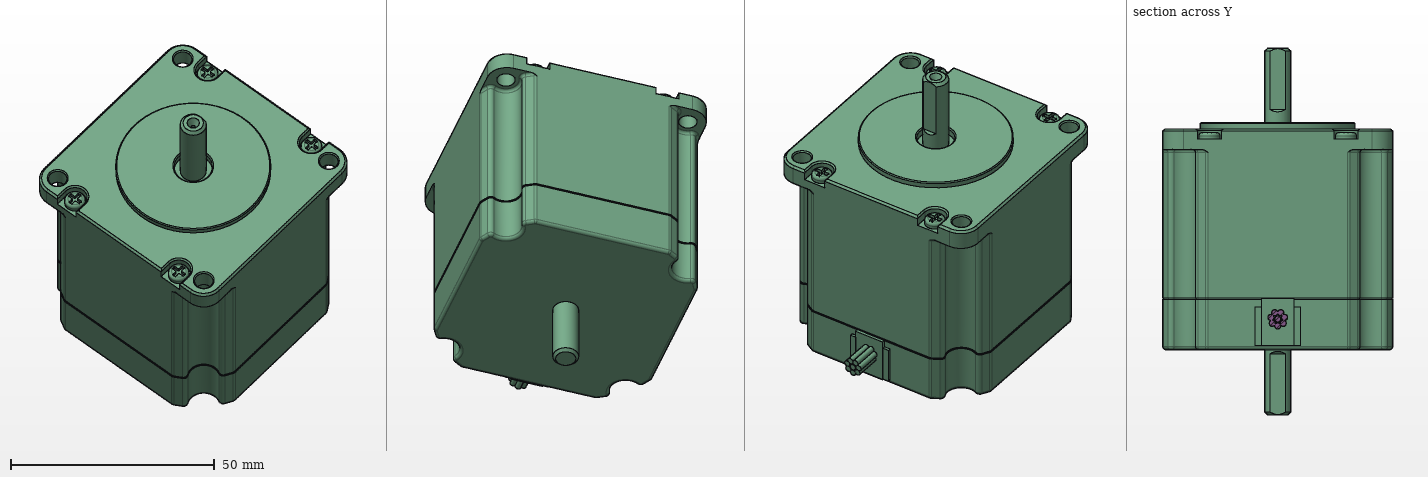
import cadquery as cq
import math

total_height = 90.0
body_width = 56.4
total_depth = 64.4
body_bottom = 16.0
body_top = 70.2
half_width = body_width / 2
overrun = 0.9

top_chamfer = 0.5
bottom_fillet = 0.8
flange_corner_radius = 5.0
flange_underside = 65.2
seam_height = 28.5
seam_width = 0.3
seam_depth = 0.2

hole_offset = 23.6
hole_diameter = 4.5
hole_chamfer = 0.315
groove_radius = 4.0
relief_face_start = 17.5
relief_slope = math.radians(30)
relief_outer_fillet = 1.35
relief_inner_fillet = 1.2
relief_ceiling_fillet = 0.7

pilot_diameter = 38.1
pilot_height = 1.5
pilot_chamfer = 0.3
bore_diameter = 9.4
bore_depth = 2.0
bore_chamfer = 0.315

shaft_diameter = 6.4
shaft_chamfer = 0.7
flat_length = 15.0
flat_offset = 2.6
centre_hole_diameter = 3.0
centre_pilot_diameter = 1.0
centre_cone_angle = math.radians(60)
centre_pilot_depth = 0.9

screw_x = 16.7
screw_y = 25.0
pocket_width = 5.9
pocket_depth = 2.5
pocket_chamfer = 0.405
head_diameter = 5.1
head_height = 1.6
head_fillet = 0.8
recess_length = 3.5
recess_width = 0.9
recess_depth = 0.9

grommet_bottom = 17.1
grommet_shoulder = 26.55
grommet_top = 28.6
grommet_width = 11.25
grommet_thickness = 0.7
grommet_pad_width = 8.0
grommet_pad_thickness = 1.0
cable_end = total_depth - half_width
cable_height = 23.6
lead_diameter = 1.5
ring_radius = 1.7
ring_lead_count = 7

corners = [(sx, sy) for sx in (-1, 1) for sy in (-1, 1)]


def relief_cutter():
    """Corner relief for the -X -Y corner: sloped faces running into a round groove."""
    start_x = -relief_face_start + hole_offset
    start_y = -half_width + hole_offset
    dir_x, dir_y = -math.cos(relief_slope), math.sin(relief_slope)
    along = start_x * dir_x + start_y * dir_y
    gap = start_x**2 + start_y**2 - groove_radius**2
    reach = -along - math.sqrt(along**2 - gap)
    lip_x = start_x + reach * dir_x - hole_offset
    lip_y = start_y + reach * dir_y - hole_offset

    clear = half_width + 5 * overrun
    side_end = 2 * overrun - relief_face_start
    mid_height = (flange_underside + body_bottom - overrun) / 2
    groove_mid = -hole_offset + groove_radius * math.sqrt(0.5)

    cutter = (
        cq.Workplane("XY").workplane(offset=body_bottom - overrun)
        .moveTo(-clear, -clear)
        .lineTo(side_end, -clear)
        .lineTo(side_end, -half_width)
        .lineTo(-relief_face_start, -half_width)
        .lineTo(lip_x, lip_y)
        .threePointArc((groove_mid, groove_mid), (lip_y, lip_x))
        .lineTo(-half_width, -relief_face_start)
        .lineTo(-half_width, side_end)
        .lineTo(-clear, side_end)
        .close()
        .extrude(flange_underside - body_bottom + overrun)
    )
    for corner_x, corner_y, radius in [
        (-relief_face_start, -half_width, relief_outer_fillet),
        (lip_x, lip_y, relief_inner_fillet),
    ]:
        for x, y in [(corner_x, corner_y), (corner_y, corner_x)]:
            nearest = cq.selectors.NearestToPointSelector((x, y, mid_height))
            cutter = cutter.edges("|Z").edges(nearest).fillet(radius)
    return cutter.faces(">Z").edges().fillet(relief_ceiling_fillet)


def motor_body():
    """Square body with relieved corners, rounded flange and rear-cover seam."""
    body = (
        cq.Workplane("XY").workplane(offset=body_bottom)
        .rect(body_width, body_width)
        .extrude(body_top - body_bottom)
        .edges("|Z").fillet(flange_corner_radius)
        .faces(">Z").edges().chamfer(top_chamfer)
    )
    cutter = relief_cutter()
    for quarter in range(4):
        body = body.cut(cutter.rotate((0, 0, 0), (0, 0, 1), 90 * quarter))
    body = body.faces("<Z").edges().fillet(bottom_fillet)

    slab = body.intersect(
        cq.Workplane("XY").workplane(offset=seam_height - seam_width / 2)
        .rect(body_width, body_width).extrude(seam_width)
    )
    core_outline = slab.faces("<Z").wires().val().offset2D(-seam_depth)[0]
    core = cq.Solid.extrudeLinear(core_outline, [], cq.Vector(0, 0, seam_width))
    return body.cut(slab.cut(core))


def pilot_boss():
    """Round locating boss on the flange face."""
    return (
        cq.Workplane("XY").workplane(offset=body_top)
        .circle(pilot_diameter / 2).extrude(pilot_height)
        .faces(">Z").edges().chamfer(pilot_chamfer)
    )


def bore_cutter():
    """Chamfered recess in the boss around the shaft."""
    radius = bore_diameter / 2
    top = body_top + pilot_height
    return (
        cq.Workplane("XZ")
        .moveTo(0, top - bore_depth)
        .lineTo(radius, top - bore_depth)
        .lineTo(radius, top - bore_chamfer)
        .lineTo(radius + bore_chamfer, top)
        .lineTo(0, top)
        .close()
        .revolve(360, (0, 0, 0), (0, 1, 0))
    )


def mounting_hole_cutter():
    """Through hole with a chamfered mouth on the flange face."""
    hole = (
        cq.Workplane("XY").workplane(offset=body_bottom)
        .circle(hole_diameter / 2).extrude(body_top - body_bottom)
    )
    mouth = (
        cq.Workplane("XY").workplane(offset=body_top)
        .circle(hole_diameter / 2 + hole_chamfer)
        .workplane(offset=-hole_chamfer).circle(hole_diameter / 2).loft()
    )
    return hole.union(mouth)


def screw_pocket_cutter():
    """U-shaped pocket open towards +Y, chamfered around its top edge; the screw axis is at x = y = 0."""
    def u_shape(floor, height, taper=0):
        radius = pocket_width / 2
        reach = half_width - screw_y + overrun
        return (
            cq.Workplane("XY").workplane(offset=floor)
            .moveTo(radius, reach)
            .lineTo(radius, 0)
            .threePointArc((0, -radius), (-radius, 0))
            .lineTo(-radius, reach)
            .close()
            .extrude(height, taper=taper)
        )

    pocket = u_shape(body_top - pocket_depth, pocket_depth)
    bevel = u_shape(body_top - pocket_chamfer, pocket_chamfer, -45)
    return pocket.union(bevel)


def cross_head():
    """Domed screw head with a cross recess, standing on the pocket floor."""
    floor = body_top - pocket_depth
    head = (
        cq.Workplane("XY").workplane(offset=floor)
        .circle(head_diameter / 2).extrude(head_height)
        .faces(">Z").edges().fillet(head_fillet)
    )
    for length, width in [(recess_length, recess_width), (recess_width, recess_length)]:
        head = head.cut(
            cq.Workplane("XY").workplane(offset=floor + head_height - recess_depth)
            .rect(length, width).extrude(recess_depth)
        )
    return head


def shaft():
    """Double-ended shaft with a flat at each end and a centre hole in the top end."""
    radius = shaft_diameter / 2
    rod = cq.Workplane("XY").circle(radius).extrude(total_height).edges().chamfer(shaft_chamfer)

    rise = radius + overrun - flat_offset
    flat = (
        cq.Workplane("YZ")
        .moveTo(flat_offset, 0)
        .lineTo(flat_offset, flat_length)
        .lineTo(flat_offset + rise, flat_length + rise)
        .lineTo(flat_offset + rise, 0)
        .close()
        .extrude(radius, both=True)
    )
    rod = rod.cut(flat).cut(flat.mirror("XY").translate((0, 0, total_height)))

    mouth = centre_hole_diameter / 2
    tip = centre_pilot_diameter / 2
    cone_depth = (mouth - tip) / math.tan(centre_cone_angle / 2)
    centre_hole = (
        cq.Workplane("XZ")
        .moveTo(0, total_height)
        .lineTo(mouth, total_height)
        .lineTo(tip, total_height - cone_depth)
        .lineTo(tip, total_height - cone_depth - centre_pilot_depth)
        .lineTo(0, total_height - cone_depth - centre_pilot_depth)
        .close()
        .revolve(360, (0, 0, 0), (0, 1, 0))
    )
    return rod.cut(centre_hole)


def cable_outlet():
    """Stepped grommet plate with a bundle of leads: a ring around one centre lead."""
    def plate(width, top, thickness):
        return (
            cq.Workplane("XY").workplane(offset=grommet_bottom)
            .center(0, half_width + thickness / 2)
            .rect(width, thickness)
            .extrude(top - grommet_bottom)
        )

    outlet = plate(grommet_width, grommet_shoulder, grommet_thickness).union(
        plate(grommet_pad_width, grommet_top, grommet_pad_thickness)
    )
    places = [(0, cable_height)]
    for step in range(ring_lead_count):
        angle = 2 * math.pi * step / ring_lead_count - math.pi / 2
        places.append((ring_radius * math.cos(angle), cable_height + ring_radius * math.sin(angle)))
    for x, z in places:
        lead = cq.Solid.makeCylinder(
            lead_diameter / 2, cable_end - half_width, cq.Vector(x, half_width, z), cq.Vector(0, 1, 0)
        )
        outlet = outlet.union(cq.Workplane(lead))
    return outlet


result = motor_body().union(pilot_boss()).cut(bore_cutter()).union(shaft()).union(cable_outlet())

hole = mounting_hole_cutter()
pocket = screw_pocket_cutter()
screw = cross_head()
for side_x, side_y in corners:
    result = result.cut(hole.translate((side_x * hole_offset, side_y * hole_offset, 0)))
    turn = 0 if side_y > 0 else 180
    place = (side_x * screw_x, side_y * screw_y, 0)
    result = result.cut(pocket.rotate((0, 0, 0), (0, 0, 1), turn).translate(place))
    result = result.union(screw.translate(place))